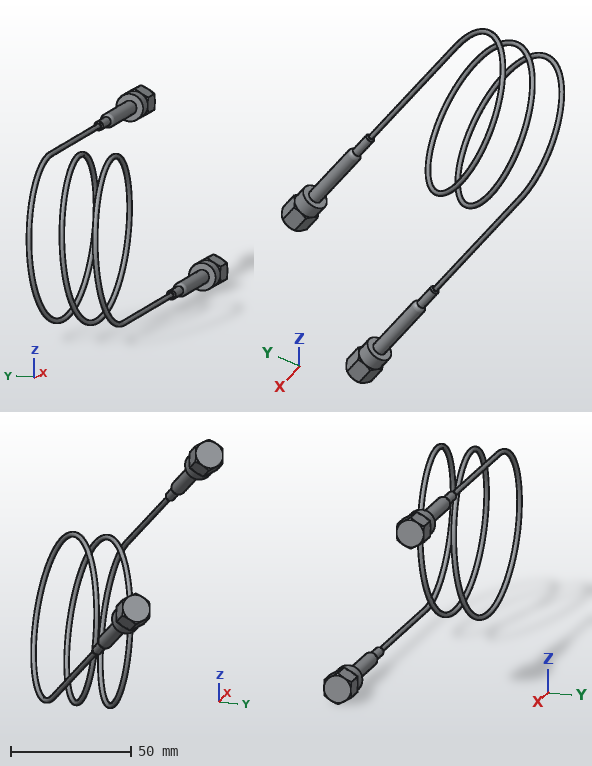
import cadquery as cq
import math

overall_length = 163.0
overall_width = 43.4
overall_height = 83.5

hex_across_flats = 11.7
hex_across_corners = hex_across_flats / math.cos(math.pi / 6)
collar_length = 6.7
hex_length = 10.1
hex_front_chamfer = 0.8
hex_back_chamfer = 0.5

ferrule_diameter = 3.9
ferrule_length = 11.2
ferrule_chamfer = 0.7
barrel_diameter = 6.0
barrel_length = 32.8
shoulder_taper_length = 1.5
shoulder_fillet = 1.6

cable_diameter = 2.1
end_spacing_y = overall_width - hex_across_flats
end_spacing_z = overall_height - hex_across_corners
coil_radius = end_spacing_z / 2
coil_turns = 2.5
coil_angle = coil_turns * 2 * math.pi
lead_angle = math.radians(122)
points_per_turn = 24

nut_end_x = overall_length - coil_radius - cable_diameter / 2
hex_start_x = nut_end_x - hex_length
nut_start_x = hex_start_x - collar_length
barrel_start_x = nut_start_x - barrel_length
ferrule_start_x = barrel_start_x - ferrule_length

cable_ends = [
    (end_spacing_y / 2, end_spacing_z / 2),
    (-end_spacing_y / 2, -end_spacing_z / 2),
]


def coil_advance(angle):
    """Distance travelled along the coil axis after turning through the given angle."""
    slope = end_spacing_y / (coil_angle - lead_angle)
    if angle < lead_angle:
        return slope * angle ** 2 / (2 * lead_angle)
    if angle > coil_angle - lead_angle:
        return end_spacing_y - coil_advance(coil_angle - angle)
    return slope * (angle - lead_angle / 2)


def coil_point(angle):
    """Point on the cable centre line, counted from the top of the coil toward -X."""
    return cq.Vector(
        -coil_radius * math.sin(angle),
        end_spacing_y / 2 - coil_advance(angle),
        coil_radius * math.cos(angle),
    )


def section_plane(x, y, z):
    """Plane across a cable end, facing +X, with its local x along +Y."""
    return cq.Workplane(cq.Plane(origin=(x, y, z), xDir=(0, 1, 0), normal=(1, 0, 0)))


def make_cable():
    """Coiled cable with a straight run at each end."""
    steps = round(points_per_turn * coil_turns)
    angles = [coil_angle * step / steps for step in range(steps + 1)]
    coil_points = [coil_point(angle) for angle in angles]
    end_tangents = [cq.Vector(-coil_radius, 0, 0), cq.Vector(coil_radius, 0, 0)]
    start, finish = [cq.Vector(ferrule_start_x, y, z) for y, z in cable_ends]
    path = cq.Wire.assembleEdges([
        cq.Edge.makeLine(start, coil_points[0]),
        cq.Edge.makeSpline(coil_points, tangents=end_tangents, parameters=angles, scale=False),
        cq.Edge.makeLine(coil_points[-1], finish),
    ])
    section = section_plane(*start.toTuple())
    return section.circle(cable_diameter / 2).sweep(cq.Workplane(path))


def make_sleeve(y, z):
    """Ferrule and barrel in one piece, butted between the cable and the nut."""
    ferrule_radius = ferrule_diameter / 2
    barrel_radius = barrel_diameter / 2
    sleeve = (
        cq.Workplane("XY")
        .polyline([
            (ferrule_start_x, 0),
            (ferrule_start_x, ferrule_radius - ferrule_chamfer),
            (ferrule_start_x + ferrule_chamfer, ferrule_radius),
            (barrel_start_x, ferrule_radius),
            (barrel_start_x + shoulder_taper_length, barrel_radius),
            (nut_start_x, barrel_radius),
            (nut_start_x, 0),
        ])
        .close()
        .revolve(360, (0, 0, 0), (1, 0, 0))
    )
    shoulder = sleeve.edges(cq.selectors.RadiusNthSelector(-1)).edges("<X")
    return shoulder.fillet(shoulder_fillet).translate((0, y, z))


def make_nut(y, z):
    """Round collar and hexagon whose corners are turned down at both ends."""
    flat_radius = hex_across_flats / 2
    corner_radius = hex_across_corners / 2
    collar = section_plane(nut_start_x, y, z).circle(flat_radius).extrude(collar_length)
    hexagon = (
        section_plane(hex_start_x, y, z)
        .transformed(rotate=(0, 0, 90))
        .polygon(6, hex_across_corners)
        .extrude(hex_length)
    )
    turned_blank = (
        cq.Workplane("XY")
        .polyline([
            (hex_start_x, 0),
            (hex_start_x, flat_radius),
            (hex_start_x + hex_back_chamfer, corner_radius),
            (nut_end_x - hex_front_chamfer, corner_radius),
            (nut_end_x, flat_radius),
            (nut_end_x, 0),
        ])
        .close()
        .revolve(360, (0, 0, 0), (1, 0, 0))
        .translate((0, y, z))
    )
    return collar.union(hexagon.intersect(turned_blank))


cable = make_cable()
sleeves = [make_sleeve(y, z) for y, z in cable_ends]
nuts = [make_nut(y, z) for y, z in cable_ends]

result = cq.Compound.makeCompound([
    cable.val(),
    *[sleeve.val() for sleeve in sleeves],
    *[nut.val() for nut in nuts],
])